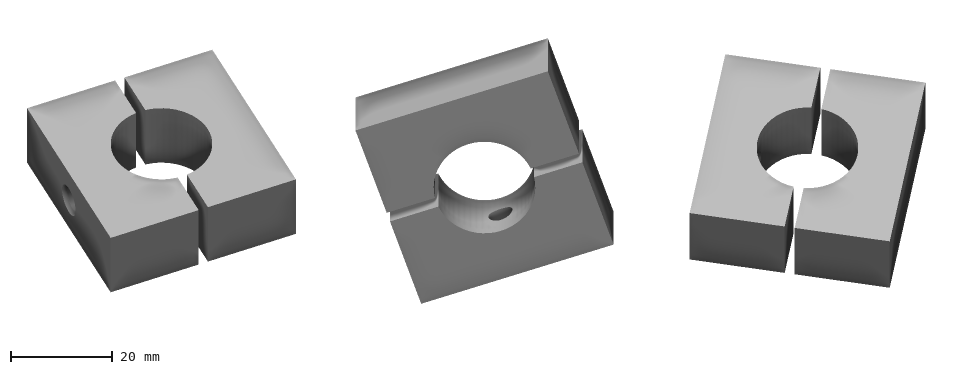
import cadquery as cq

block_width = 40.0
block_depth = 40.0
block_height = 15.0
bore_diameter = 20.0
split_gap = 2.0

screw_hole_diameter = 5.0
screw_mouth_diameter = 6.5
countersink_angle = 90.0

half_depth = (block_depth - split_gap) / 2


def clamp_half(side):
    """Plain half of the block, with its share of the bore; side is -1 (front) or +1 (back)."""
    center_y = side * (split_gap + half_depth) / 2
    bore = cq.Workplane("XY").circle(bore_diameter / 2).extrude(block_height / 2, both=True)
    block = cq.Workplane("XY").box(block_width, half_depth, block_height)
    return block.translate((0, center_y, 0)).cut(bore)


front_half = (
    clamp_half(-1)
    .faces("<Y")
    .workplane(centerOption="CenterOfBoundBox")
    .cskHole(screw_hole_diameter, screw_mouth_diameter, countersink_angle, depth=half_depth)
)

back_half = clamp_half(1)

result = cq.Compound.makeCompound([front_half.val(), back_half.val()])